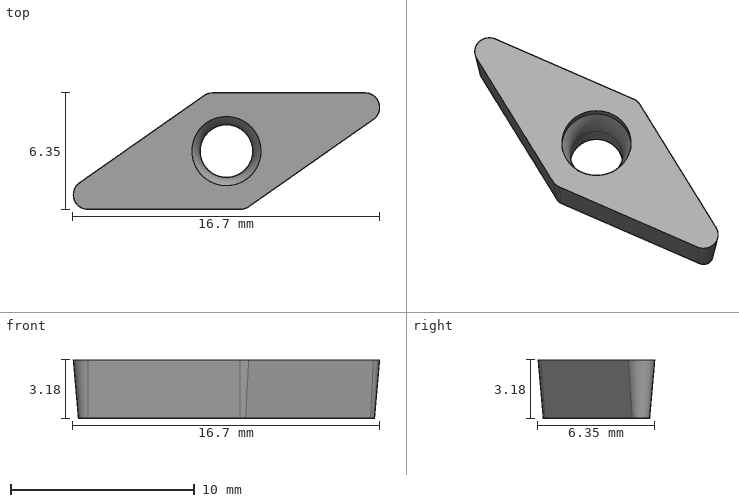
import cadquery as cq
import math

inscribed_circle = 6.35
thickness = 3.18
acute_angle = 35.0
relief_angle = 5.0
corner_radius = 0.8

mouth_diameter = 3.76
bore_diameter = 2.85
mouth_depth = 0.5
seat_radius = 2.5


def rhombus_corners():
    """Sharp corners of the rhombus, with two sides parallel to X."""
    half_width = inscribed_circle / 2
    side = inscribed_circle / math.sin(math.radians(acute_angle))
    half_acute = math.radians(acute_angle / 2)
    acute_x = half_width / math.tan(half_acute)
    obtuse_x = side - acute_x
    return [
        (-acute_x, -half_width),
        (-obtuse_x, half_width),
        (acute_x, half_width),
        (obtuse_x, -half_width),
    ]


def insert_body():
    """Rounded rhombus from Z = 0 (bottom) to the full-size top face."""
    sharp = cq.Workplane("XY").polyline(rhombus_corners()).close().extrude(thickness)
    outline = sharp.edges("|Z").fillet(corner_radius).faces(">Z").wires().val()
    return cq.Workplane("XY").add(outline).toPending().extrude(-thickness, taper=relief_angle)


def screw_hole():
    """Revolved hole cutter."""
    mouth_r = mouth_diameter / 2
    bore_r = bore_diameter / 2
    step = mouth_r - bore_r
    seat_depth = math.sqrt(seat_radius**2 - (seat_radius - step) ** 2)
    seat_top = thickness - mouth_depth
    seat_bottom = seat_top - seat_depth
    half_sweep = math.asin(seat_depth / seat_radius) / 2
    seat_mid = (
        bore_r + seat_radius * (1 - math.cos(half_sweep)),
        seat_bottom + seat_radius * math.sin(half_sweep),
    )
    return (
        cq.Workplane("XZ")
        .lineTo(bore_r, 0)
        .lineTo(bore_r, seat_bottom)
        .threePointArc(seat_mid, (mouth_r, seat_top))
        .lineTo(mouth_r, thickness)
        .lineTo(0, thickness)
        .close()
        .revolve()
    )


result = insert_body().cut(screw_hole())